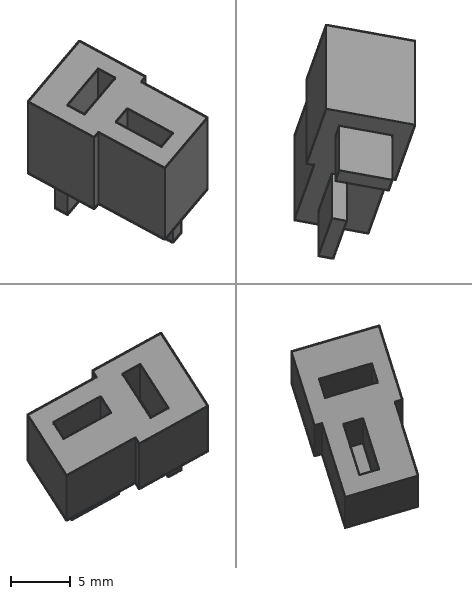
import cadquery as cq

total_height = 15.3
housing_length = 13.4
housing_height = 9.99
wide_width = 7.7
narrow_width = 6.4
half_length = housing_length / 2

slot_length = 4.6
slot_width = 3.0
slot_depth = 8.0
blade_thickness = 1.29
first_slot_start = 1.67
second_slot_start = 7.3

blade_bottom = housing_height - total_height


def block(x_start, y_start, z_start, length, width, height):
    """Box placed by its lowest corner."""
    return cq.Workplane("XY").box(length, width, height, centered=False).translate((x_start, y_start, z_start))


def housing_half(x_start, width):
    return block(x_start, -width / 2, 0, half_length, width, housing_height)


def slot(x_start, length, width):
    return block(x_start, -width / 2, housing_height - slot_depth, length, width, slot_depth)


housing = housing_half(0, wide_width).union(housing_half(half_length, narrow_width))

housing = housing.cut(slot(first_slot_start, slot_width, slot_length))
housing = housing.cut(slot(second_slot_start, slot_length, slot_width))

first_blade = block(
    first_slot_start, -slot_length / 2, blade_bottom,
    blade_thickness, slot_length, total_height,
)
second_blade = block(
    second_slot_start, slot_width / 2 - blade_thickness, blade_bottom,
    slot_length, blade_thickness, total_height,
)

result = housing.union(first_blade).union(second_blade)